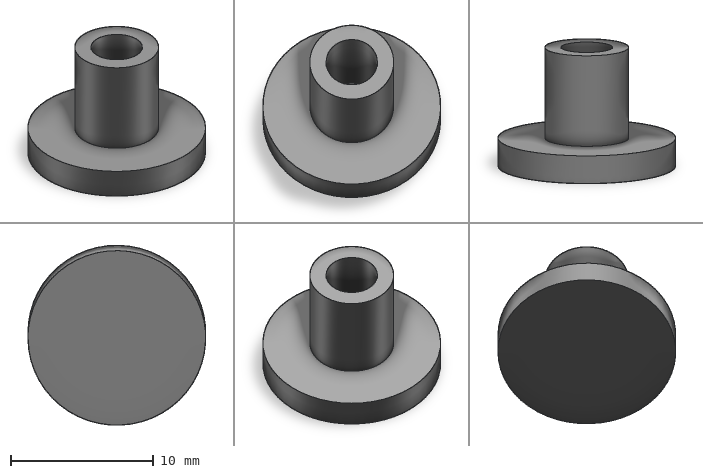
import cadquery as cq

flange_diameter = 12.5
flange_thickness = 2.0
total_height = 8.5

post_diameter = 5.9
bore_diameter = 3.6
post_height = total_height - flange_thickness
bore_depth = post_height

flange = cq.Workplane("XY").circle(flange_diameter / 2).extrude(flange_thickness)

with_post = flange.faces(">Z").workplane().circle(post_diameter / 2).extrude(post_height)

result = with_post.faces(">Z").workplane().hole(bore_diameter, bore_depth)